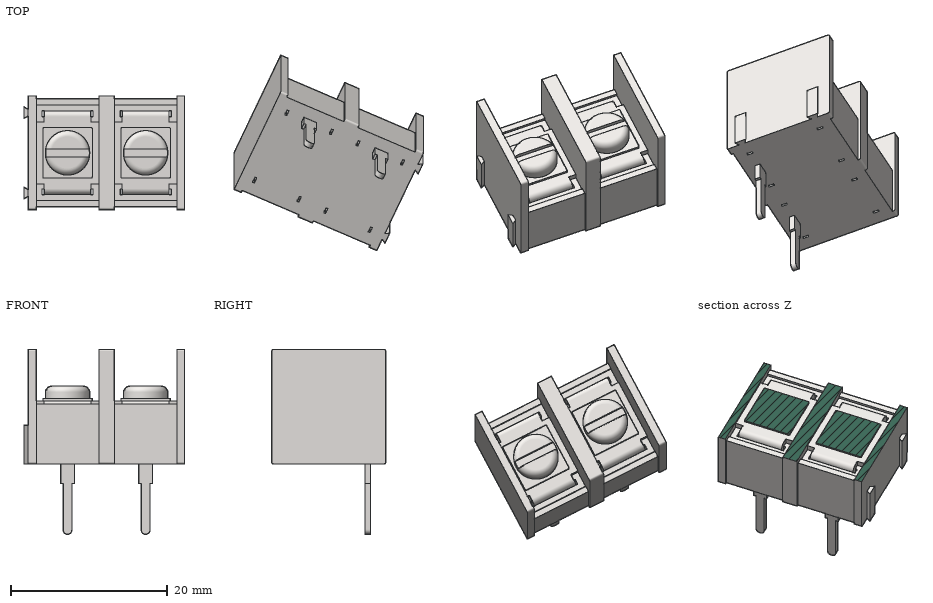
import cadquery as cq


pole_count = 2
pitch = 10.0
row_length = pole_count * pitch
pole_centres = [(i - (pole_count - 1) / 2) * pitch for i in range(pole_count)]

barrier_depth = 14.6
barrier_height = 14.7
barrier_half_thickness = 1.0
barrier_corner_radius = 0.25
first_end_extra = 0.05

housing_depth = 13.86
edge_strip_width = 0.8
edge_strip_top = 7.7

contact_top = 8.1
contact_thickness = 0.72
floor_height = contact_top - contact_thickness
contact_wide_depth = 7.94
cell_width = pitch - 2 * barrier_half_thickness
tab_width = 6.0
tab_outer_y = 5.36
tab_centre_y = tab_outer_y - contact_thickness / 2
slot_length = 6.5

shoulder_width = 1.8
shoulder_length = 2.5
pin_width = 1.15
pin_length = 9.0

washer_width = 6.33
washer_depth = 6.47
washer_thickness = 0.3
washer_corner_radius = 0.15
head_diameter = 5.7
head_height = 1.6
head_edge_radius = 0.8
drive_slot_width = 1.03
drive_slot_depth = 0.5

rib_projection = 0.55
rib_outer_width = 1.55
rib_root_width = 0.85
rib_height = 5.0
rib_centre_y = 5.14


def block(x_size, y_size, z_bottom, z_top, x=0.0, y=0.0):
    """Box centred on (x, y) between two heights."""
    box = cq.Workplane("XY").box(x_size, y_size, z_top - z_bottom, centered=(True, True, False))
    return box.translate((x, y, z_bottom))


def make_barrier(x_start, x_end):
    """Upright plate with its four X-parallel edges rounded."""
    plate = block(x_end - x_start, barrier_depth, 0, barrier_height, (x_start + x_end) / 2)
    return plate.edges("|X").fillet(barrier_corner_radius)


def make_barriers():
    """End plates of single thickness and shared plates of double thickness."""
    row_start = -row_length / 2
    row_end = row_length / 2
    barriers = make_barrier(row_start - first_end_extra, row_start + barrier_half_thickness)
    barriers = barriers.union(make_barrier(row_end - barrier_half_thickness, row_end))
    for i in range(1, pole_count):
        joint = row_start + i * pitch
        barriers = barriers.union(make_barrier(joint - barrier_half_thickness, joint + barrier_half_thickness))
    return barriers


def make_housing():
    """Block of one pole with a sunken floor between edge strips and two through slots."""
    housing = block(cell_width, housing_depth, 0, edge_strip_top)
    floor_depth = housing_depth - 2 * edge_strip_width
    housing = housing.cut(block(cell_width, floor_depth, floor_height, edge_strip_top))
    for side in (-1, 1):
        slot = block(slot_length, contact_thickness, 0, floor_height, y=side * tab_centre_y)
        housing = housing.cut(slot)
    return housing


def make_contact():
    """Contact plate with rounded bends and tabs down to the underside of the housing."""
    bridge = block(tab_width, 2 * tab_outer_y, 0, contact_top)
    bridge = bridge.edges("|X and >Z").fillet(contact_thickness)
    bridge = bridge.cut(block(tab_width, 2 * (tab_outer_y - contact_thickness), 0, floor_height))
    return bridge.union(block(cell_width, contact_wide_depth, floor_height, contact_top))


def make_pin():
    """Flat pin with a wide shoulder and a round end."""
    pin_radius = pin_width / 2
    shoulder = block(shoulder_width, contact_thickness, -shoulder_length, 0, y=tab_centre_y)
    pin = block(pin_width, contact_thickness, pin_radius - pin_length, 0, y=tab_centre_y)
    tip = (
        cq.Workplane("XZ")
        .center(0, pin_radius - pin_length)
        .circle(pin_radius)
        .extrude(contact_thickness / 2, both=True)
        .translate((0, tab_centre_y, 0))
    )
    return shoulder.union(pin).union(tip)


def make_screw():
    """Square washer under a round screw head with a straight drive slot."""
    washer_top = contact_top + washer_thickness
    head_top = washer_top + head_height
    washer = block(washer_width, washer_depth, contact_top, washer_top)
    washer = washer.edges("|Z").fillet(washer_corner_radius)
    head = cq.Workplane("XY").workplane(offset=washer_top).circle(head_diameter / 2).extrude(head_height)
    head = head.faces(">Z").edges().fillet(head_edge_radius)
    head = head.cut(block(head_diameter, drive_slot_width, head_top - drive_slot_depth, head_top))
    return washer.union(head)


def make_rib(y):
    """Dovetail rib that widens away from the end face."""
    face_x = -row_length / 2 - first_end_extra
    outer_x = face_x - rib_projection
    outline = [
        (face_x, y - rib_root_width / 2),
        (face_x, y + rib_root_width / 2),
        (outer_x, y + rib_outer_width / 2),
        (outer_x, y - rib_outer_width / 2),
    ]
    return cq.Workplane("XY").polyline(outline).close().extrude(rib_height)


pole = make_housing().union(make_contact()).union(make_pin()).union(make_screw())

result = make_barriers()
for x in pole_centres:
    result = result.union(pole.translate((x, 0, 0)))
for y in (-rib_centre_y, rib_centre_y):
    result = result.union(make_rib(y))